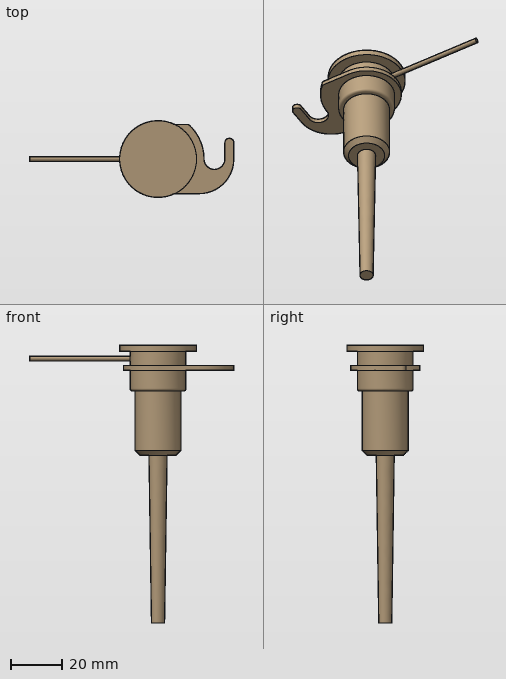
import cadquery as cq
import math

total_height = 108.2

flange_radius = 14.99
flange_depth = 2.5
collar_radius = 10.87
collar_depth = 18.0
collar_fillet = 1.0
barrel_radius = 9.0
barrel_depth = 43.0
barrel_chamfer = 2.0

stem_top_radius = 3.6
stem_tip_radius = 2.6

pin_radius = 1.0
pin_reach = 50.0
pin_depth = 5.3

plate_top_depth = 7.9
plate_thickness = 2.0
plate_radius = 13.5
plate_reach = 29.5
slot_radius = 4.0
slot_inner_x = 18.0
finger_tip_y = 8.1
corner_fillet = 1.0


def disc(radius, top_depth, bottom_depth):
    """Upright cylinder between two depths below the top face."""
    return cq.Workplane("XY").workplane(offset=-bottom_depth).circle(radius).extrude(bottom_depth - top_depth)


def make_stem():
    stem_length = total_height - barrel_depth
    return (
        cq.Workplane("XY").workplane(offset=-barrel_depth).circle(stem_top_radius)
        .workplane(offset=-stem_length).circle(stem_tip_radius)
        .loft(combine=True)
    )


def make_pin():
    return (
        cq.Workplane("YZ").workplane(offset=-pin_reach).center(0, -pin_depth)
        .circle(pin_radius).extrude(pin_reach)
    )


def make_plate():
    """Round-ended plate whose far side curls into an upturned hook."""
    diagonal = math.sqrt(0.5)
    outer_arc_x = plate_reach - plate_radius
    slot_x = slot_inner_x + slot_radius
    slot_outer_x = slot_x + slot_radius
    finger_radius = (plate_reach - slot_outer_x) / 2
    finger_x = plate_reach - finger_radius
    finger_arc_y = finger_tip_y - finger_radius
    corner_x = math.sqrt(slot_inner_x**2 - plate_radius**2)
    flank_angle = math.atan2(plate_radius, corner_x) / 2
    flank_middle = (slot_inner_x * math.cos(flank_angle), slot_inner_x * math.sin(flank_angle))

    plate = (
        cq.Workplane("XY").workplane(offset=-plate_top_depth - plate_thickness)
        .moveTo(0, -plate_radius)
        .lineTo(outer_arc_x, -plate_radius)
        .threePointArc(
            (outer_arc_x + plate_radius * diagonal, -plate_radius * diagonal),
            (plate_reach, 0),
        )
        .lineTo(plate_reach, finger_arc_y)
        .threePointArc((finger_x, finger_tip_y), (slot_outer_x, finger_arc_y))
        .lineTo(slot_outer_x, 0)
        .threePointArc((slot_x, -slot_radius), (slot_inner_x, 0))
        .threePointArc(flank_middle, (corner_x, plate_radius))
        .lineTo(0, plate_radius)
        .threePointArc((-plate_radius, 0), (0, -plate_radius))
        .close()
        .extrude(plate_thickness)
    )
    corner_edge = cq.selectors.NearestToPointSelector(
        (corner_x, plate_radius, -plate_top_depth - plate_thickness / 2)
    )
    return plate.edges(corner_edge).fillet(corner_fillet)


flange = disc(flange_radius, 0, flange_depth)
collar = disc(collar_radius, 0, collar_depth).faces("<Z").edges().fillet(collar_fillet)
barrel = disc(barrel_radius, 0, barrel_depth).faces("<Z").edges().chamfer(barrel_chamfer)

result = flange.union(collar).union(barrel).union(make_stem()).union(make_pin()).union(make_plate())